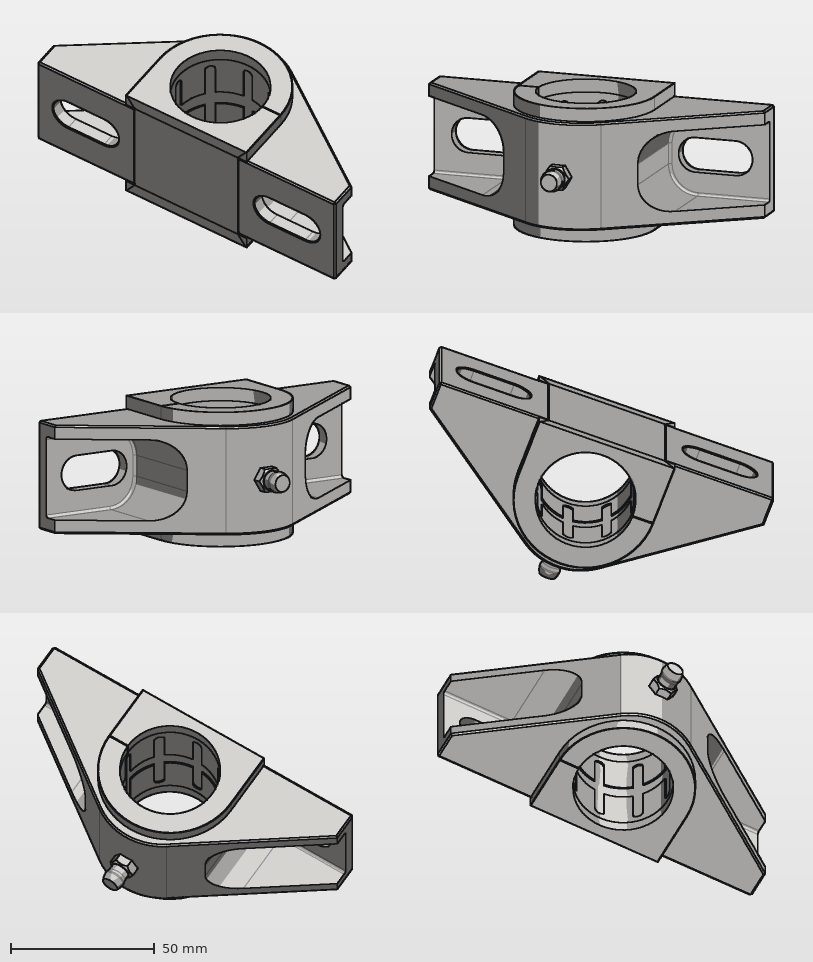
import cadquery as cq
import math


length = 124.0
half_length = length / 2
face_y = -21.6
housing_height = 38.5
half_height = housing_height / 2
foot_end_depth = 10.4
crown_y = 28.4
crown_radius = 23.5
edge_chamfer = 0.6

foot_thickness = 5.0
pocket_height = 28.8
pocket_end_x = 24.8
pocket_corner_radius = 10.7
pocket_floor_radius = 1.0
slot_spacing = 83.8
slot_length = 27.3
slot_width = 12.4
slot_chamfer = 0.4

bore_radius = 17.5
liner_radius = 21.5
total_height = 47.7
collar_height = (total_height - housing_height) / 2
collar_end_radius = 24.9
slit_width = 0.4

groove_depth = 0.5
groove_count = 8
groove_width = 3.7
groove_reach = 16.4
ring_groove_width = 6.0

sleeve_setback = 0.6
sleeve_thickness = 0.5
sleeve_radius = liner_radius + sleeve_thickness
lip_radius = 25.2

nipple_tip_y = 38.6
hex_across_flats = 8.2
hex_top_y = 32.0
hex_seat_overlap = 0.5
hex_bevel_drop = 1.0
hex_bevel_radius = 3.6
neck_radius = 3.3
head_radius = 3.7
head_bottom_y = 34.2
head_middle_y = 35.5
head_top_y = 36.0
nose_bulge_y = 37.3
nose_bulge_radius = 3.5
tip_radius = 3.0


def arch_profile(radius, z):
    """Arch in the plane at height z: flat on the mounting face, rounded about the bore axis."""
    return (
        cq.Workplane("XY", origin=(0, 0, z))
        .moveTo(-radius, face_y)
        .lineTo(radius, face_y)
        .lineTo(radius, 0)
        .threePointArc((0, radius), (-radius, 0))
        .close()
    )


def arch_block(radius, bottom_z, top_z):
    return arch_profile(radius, bottom_z).extrude(top_z - bottom_z)


def bore_cylinder(radius, bottom_z, top_z):
    return cq.Workplane("XY", origin=(0, 0, bottom_z)).circle(radius).extrude(top_z - bottom_z)


def slit_cutter():
    """Thin plate along +X that splits the liner and its collars on one side."""
    return cq.Workplane("XY").box(lip_radius, slit_width, total_height, centered=(False, True, True))


def flared_plug():
    """Solid collar at the upper end, widening from the liner to the collar's end face."""
    lower = arch_profile(liner_radius, half_height).wire().val()
    upper = arch_profile(collar_end_radius, half_height + collar_height).wire().val()
    return cq.Workplane(obj=cq.Solid.makeLoft([lower, upper], True))


def housing_blank():
    """Triangular outline: two feet whose sloping backs run tangent into the crown."""
    foot_back_y = face_y + foot_end_depth
    crown_center_y = crown_y - crown_radius
    rise = crown_center_y - foot_back_y
    distance = math.hypot(half_length, rise)
    slope = math.atan2(rise, half_length) + math.asin(crown_radius / distance)
    tangent_x = crown_radius * math.sin(slope)
    tangent_y = crown_center_y + crown_radius * math.cos(slope)
    blank = (
        cq.Workplane("XY", origin=(0, 0, -half_height))
        .moveTo(-half_length, face_y)
        .lineTo(half_length, face_y)
        .lineTo(half_length, foot_back_y)
        .lineTo(tangent_x, tangent_y)
        .threePointArc((0, crown_y), (-tangent_x, tangent_y))
        .lineTo(-half_length, foot_back_y)
        .close()
        .extrude(housing_height)
    )
    return blank.faces("<Y or <Z or >Z").edges().chamfer(edge_chamfer)


def foot_pocket(side):
    """Pocket behind one foot (side is -1 or 1), open at the foot's outer end and sloping back."""
    floor_y = face_y + foot_thickness
    half_turn = 0 if side > 0 else 180
    return (
        cq.Workplane("XY")
        .box(half_length, length, pocket_height, centered=(False, False, True))
        .translate((pocket_end_x, floor_y, 0))
        .edges("|Y and <X")
        .fillet(pocket_corner_radius)
        .faces("<Y")
        .edges()
        .fillet(pocket_floor_radius)
        .rotate((0, 0, 0), (0, 1, 0), half_turn)
    )


def foot_slot(side):
    """Mounting slot through one foot, with a chamfered rim on the mounting face."""
    center_x = side * slot_spacing / 2
    slot = (
        cq.Workplane("XZ", origin=(center_x, face_y, 0))
        .slot2D(slot_length, slot_width)
        .extrude(-2 * foot_thickness)
    )
    rim = (
        cq.Workplane("XZ", origin=(center_x, face_y, 0))
        .slot2D(slot_length + 2 * slot_chamfer, slot_width + 2 * slot_chamfer)
        .extrude(-slot_chamfer, taper=45)
    )
    return slot.union(rim)


def make_housing():
    housing = housing_blank()
    for side in (-1, 1):
        housing = housing.cut(foot_pocket(side)).cut(foot_slot(side))
    return housing.cut(arch_block(sleeve_radius, -half_height, half_height))


def grease_grooves():
    """Ring groove at mid height joined by round-ended grooves along the bore, all of one depth."""
    groove_radius = bore_radius + groove_depth
    half_ring = ring_groove_width / 2
    pattern = bore_cylinder(liner_radius, -half_ring, half_ring)
    for index in range(groove_count):
        axial_groove = (
            cq.Workplane("YZ", origin=(bore_radius / 2, 0, 0))
            .slot2D(2 * groove_reach, groove_width, 90)
            .extrude(bore_radius)
            .rotate((0, 0, 0), (0, 0, 1), index * 360 / groove_count)
        )
        pattern = pattern.union(axial_groove)
    return pattern.intersect(bore_cylinder(groove_radius, -half_height, half_height))


def make_liner():
    liner = arch_block(liner_radius, -half_height, half_height)
    liner = liner.cut(bore_cylinder(bore_radius, -half_height, half_height))
    return liner.cut(grease_grooves()).cut(slit_cutter())


def make_collar(side):
    """Flared collar on the upper (side 1) or lower (side -1) end of the liner."""
    collar = flared_plug().cut(bore_cylinder(bore_radius, 0, total_height)).cut(slit_cutter())
    return collar if side > 0 else collar.mirror("XY")


def make_seal():
    """Sleeve set back from the mounting face, with a lip around each flared collar."""
    sleeve = arch_block(sleeve_radius, -half_height, half_height)
    sleeve = sleeve.cut(arch_block(liner_radius, -half_height, half_height))
    setback = cq.Workplane("XY").box(length, sleeve_setback, housing_height, centered=(True, False, True))
    sleeve = sleeve.cut(setback.translate((0, face_y, 0)))
    lip = arch_block(lip_radius, half_height, half_height + collar_height).cut(flared_plug())
    return sleeve.union(lip).union(lip.mirror("XY"))


def make_nipple(housing):
    hex_bottom_y = crown_y - hex_seat_overlap
    hex_corner_radius = hex_across_flats / math.sqrt(3)
    hexagon = (
        cq.Workplane("XZ", origin=(0, hex_bottom_y, 0))
        .polygon(6, 2 * hex_corner_radius)
        .extrude(hex_bottom_y - hex_top_y)
    )
    bevel = (
        cq.Workplane("XY")
        .moveTo(0, hex_bottom_y)
        .lineTo(hex_corner_radius, hex_bottom_y)
        .lineTo(hex_corner_radius, hex_top_y - hex_bevel_drop)
        .lineTo(hex_bevel_radius, hex_top_y)
        .lineTo(0, hex_top_y)
        .close()
        .revolve(360, (0, 0, 0), (0, 1, 0))
    )
    head = (
        cq.Workplane("XY")
        .moveTo(0, hex_top_y)
        .lineTo(neck_radius, hex_top_y)
        .lineTo(neck_radius, head_bottom_y)
        .lineTo(head_radius, head_middle_y)
        .lineTo(head_radius, head_top_y)
        .threePointArc((nose_bulge_radius, nose_bulge_y), (tip_radius, nipple_tip_y))
        .lineTo(0, nipple_tip_y)
        .close()
        .revolve(360, (0, 0, 0), (0, 1, 0))
    )
    return hexagon.intersect(bevel).union(head).cut(housing)


housing = make_housing()
liner = make_liner()
collars = [make_collar(side) for side in (-1, 1)]
seal = make_seal()
nipple = make_nipple(housing)

result = cq.Compound.makeCompound(
    [housing.val(), liner.val(), *[collar.val() for collar in collars], seal.val(), nipple.val()]
)